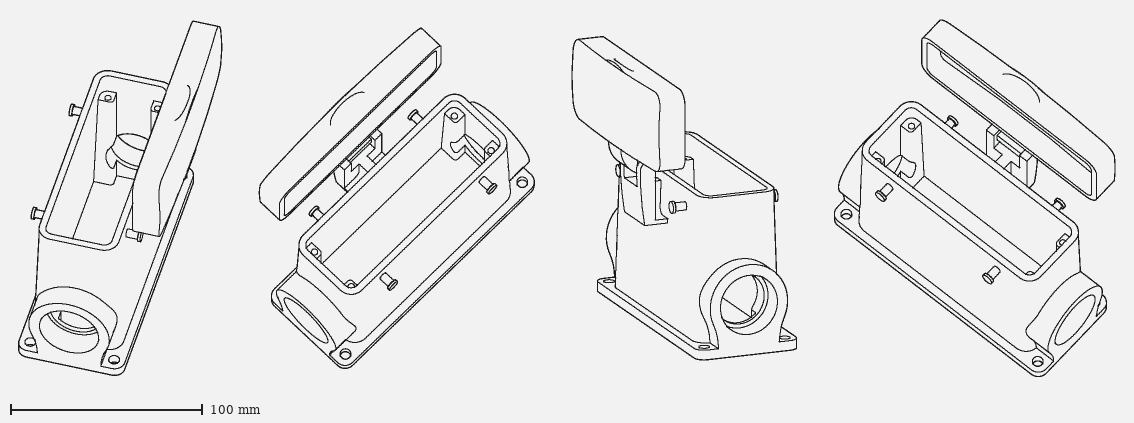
import cadquery as cq
import math


flange_width = 57.2
flange_length = 144.0
flange_thickness = 5.3
flange_corner_radius = 5.5
mount_hole_diameter = 5.6
mount_hole_x = 22.7
mount_hole_y = 65.8

rim_top = 84.0
rim_height = 5.3
rim_bottom = rim_top - rim_height
rim_width = 43.0
base_width = 48.3
shell_length = 120.3
shell_corner_radius = 7.8
wall = 3.6

entry_height = 27.3
entry_boss_radius = 21.8
entry_bore_diameter = 32.1
wall_opening_diameter = 27.8
entry_bore_bite = 1.2
entry_bore_bottom = shell_length / 2 - entry_bore_bite
foot_blend_radius = 32.5

post_width = 7.8
post_length = 7.1
post_top = 71.5
post_corner_radius = 1.9
post_hole_diameter = 3.3
post_hole_depth = 14.5
post_hole_x = 13.5
post_hole_y = 52.0

peg_height = 74.0
peg_y = 36.9
peg_tip_x = 29.5
peg_shaft_diameter = 4.3
peg_head_diameter = 6.2
peg_head_thickness = 1.5

bracket_width = 27.9
bracket_bottom = 58.5
bracket_plate_thickness = 2.3
web_width = 6.0
web_fillet = 3.9
upright_x = 29.0
upright_thickness = 8.5
upright_top = 93.1
upright_top_radius = 4.9
upright_foot_thickness = 6.0
hinge_slot_width = 17.6

cover_open_x = 31.1
cover_apex_x = 48.0
crown_drop_y = 2.0
crown_drop_z = 1.5
cover_length = shell_length
cover_height = 43.1
cover_top = 142.7
cover_center_z = cover_top - cover_height / 2
cover_bottom = cover_top - cover_height
cover_corner_radius = shell_corner_radius
cover_edge_x = cover_apex_x - crown_drop_z
attachment_inset = 0.1
attachment_back_x = cover_edge_x - attachment_inset

lip_top = 144.5
lip_width = 24.9
lip_start_x = 40.8
lip_crest_x = 44.2
lip_scoop_sag = 0.3

arm_width = 17.2
arm_inner_x = 37.0
arm_foot_x = 31.5
arm_foot_top = 90.0
arm_radius = attachment_back_x - arm_foot_x


def rounded_block(width, length, height, radius):
    """Block on Z = 0 with rounded vertical edges."""
    return cq.Workplane("XY").rect(width, length).extrude(height).edges("|Z").fillet(radius)


def tapered_shell(inset):
    """Straight rim over a body that widens in X down to the flange, shrunk sideways by inset."""
    half_rim = rim_width / 2 - inset
    half_base = base_width / 2 - inset
    half_length = shell_length / 2 - inset
    return (
        cq.Workplane("XZ", origin=(0, half_length, 0))
        .moveTo(-half_base, flange_thickness)
        .lineTo(-half_rim, rim_bottom)
        .lineTo(-half_rim, rim_top)
        .lineTo(half_rim, rim_top)
        .lineTo(half_rim, rim_bottom)
        .lineTo(half_base, flange_thickness)
        .close()
        .extrude(2 * half_length)
        .faces("<Y or >Y")
        .edges("not #Z")
        .fillet(shell_corner_radius - inset)
    )


def make_flange():
    flange = rounded_block(flange_width, flange_length, flange_thickness, flange_corner_radius)
    return (
        flange.faces(">Z")
        .workplane()
        .rect(2 * mount_hole_x, 2 * mount_hole_y, forConstruction=True)
        .vertices()
        .hole(mount_hole_diameter)
    )


def make_entry_body():
    """Round boss over the full length, blended down to the flange by two hollow arcs."""
    rise = entry_height - flange_thickness
    blend_angle = math.asin(rise / (entry_boss_radius + foot_blend_radius))
    join_x = entry_boss_radius * math.cos(blend_angle)
    join_z = entry_height - entry_boss_radius * math.sin(blend_angle)
    blend_center_x = (entry_boss_radius + foot_blend_radius) * math.cos(blend_angle)
    foot_x = blend_center_x - foot_blend_radius
    mid_x = blend_center_x - foot_blend_radius * math.cos(blend_angle / 2)
    mid_z = flange_thickness + foot_blend_radius * math.sin(blend_angle / 2)
    return (
        cq.Workplane("XZ", origin=(0, flange_length / 2, 0))
        .moveTo(-foot_x, flange_thickness)
        .threePointArc((-mid_x, mid_z), (-join_x, join_z))
        .threePointArc((0, entry_height + entry_boss_radius), (join_x, join_z))
        .threePointArc((mid_x, mid_z), (foot_x, flange_thickness))
        .close()
        .extrude(flange_length)
    )


def entry_cylinder(diameter, start_y, end_y):
    """Cylinder along Y on the axis of the cable entries."""
    return (
        cq.Workplane("XZ", origin=(0, start_y, entry_height))
        .circle(diameter / 2)
        .extrude(start_y - end_y)
    )


def make_screw_posts(cavity):
    """Four posts that fill the cavity corners, each with a blind screw hole."""
    cavity_half_width = rim_width / 2 - wall
    cavity_half_length = shell_length / 2 - wall
    posts = cq.Workplane("XY")
    for side_x in (-1, 1):
        for side_y in (-1, 1):
            inner_x = cavity_half_width - post_width
            inner_y = cavity_half_length - post_length
            outer_x = base_width / 2
            outer_y = shell_length / 2
            post = (
                cq.Workplane("XY", origin=(0, 0, flange_thickness))
                .center(side_x * (inner_x + outer_x) / 2, side_y * (inner_y + outer_y) / 2)
                .rect(outer_x - inner_x, outer_y - inner_y)
                .extrude(post_top - flange_thickness)
                .edges("|Z")
                .edges(cq.NearestToPointSelector((side_x * inner_x, side_y * inner_y, post_top / 2)))
                .fillet(post_corner_radius)
            )
            posts = posts.add(post.intersect(cavity))
    posts = posts.combine()
    holes = (
        cq.Workplane("XY", origin=(0, 0, post_top))
        .rect(2 * post_hole_x, 2 * post_hole_y, forConstruction=True)
        .vertices()
        .circle(post_hole_diameter / 2)
        .extrude(-post_hole_depth)
    )
    return posts.cut(holes)


def make_peg(side_x, y):
    """Headed peg that starts inside the wall and points outwards along X."""
    root_x = rim_width / 2 - wall / 2
    shaft = cq.Workplane("YZ").circle(peg_shaft_diameter / 2).extrude(peg_tip_x - root_x)
    head = (
        cq.Workplane("YZ", origin=(peg_tip_x - root_x, 0, 0))
        .circle(peg_head_diameter / 2)
        .extrude(-peg_head_thickness)
    )
    peg = shaft.union(head).translate((root_x, 0, 0))
    if side_x < 0:
        peg = peg.mirror("YZ")
    return peg.translate((0, y, peg_height))


def make_bracket():
    """Inverted-T arm from the housing wall that carries two uprights with a slot between them."""
    root_x = rim_width / 2
    plate_top = bracket_bottom + bracket_plate_thickness
    half_width = bracket_width / 2
    half_web = web_width / 2
    fillet_drop = web_fillet * (1 - math.sqrt(0.5))
    arm = (
        cq.Workplane("YZ", origin=(root_x, 0, 0))
        .moveTo(-half_width, bracket_bottom)
        .lineTo(half_width, bracket_bottom)
        .lineTo(half_width, plate_top)
        .lineTo(half_web + web_fillet, plate_top)
        .threePointArc(
            (half_web + fillet_drop, plate_top + fillet_drop),
            (half_web, plate_top + web_fillet),
        )
        .lineTo(half_web, rim_bottom)
        .lineTo(-half_web, rim_bottom)
        .lineTo(-half_web, plate_top + web_fillet)
        .threePointArc(
            (-half_web - fillet_drop, plate_top + fillet_drop),
            (-half_web - web_fillet, plate_top),
        )
        .lineTo(-half_width, plate_top)
        .close()
        .extrude(upright_x - root_x)
    )

    back_x = upright_x + upright_thickness
    shoulder_z = upright_top - upright_top_radius
    uprights = (
        cq.Workplane("XZ", origin=(0, half_width, 0))
        .moveTo(upright_x, bracket_bottom)
        .lineTo(upright_x, upright_top)
        .lineTo(back_x - upright_top_radius, upright_top)
        .tangentArcPoint((back_x, shoulder_z), relative=False)
        .tangentArcPoint((upright_x + upright_foot_thickness, bracket_bottom), relative=False)
        .close()
        .extrude(bracket_width)
    )
    slot = (
        cq.Workplane("XY", origin=(upright_x + upright_thickness / 2, 0, rim_bottom))
        .rect(2 * upright_thickness, hinge_slot_width)
        .extrude(upright_top - rim_bottom)
    )
    return arm.union(uprights.cut(slot))


def make_housing():
    cavity = tapered_shell(wall)
    housing = (
        tapered_shell(0)
        .union(make_bracket(), clean=False)
        .union(make_flange(), clean=False)
        .union(make_entry_body(), clean=False)
        .cut(cavity)
        .union(make_screw_posts(cavity), clean=False)
    )
    half_length = flange_length / 2
    housing = housing.cut(entry_cylinder(wall_opening_diameter, half_length, -half_length))
    housing = housing.cut(entry_cylinder(entry_bore_diameter, half_length, entry_bore_bottom))
    housing = housing.cut(entry_cylinder(entry_bore_diameter, -entry_bore_bottom, -half_length))
    for side_x in (-1, 1):
        for y in (-peg_y, peg_y):
            housing = housing.union(make_peg(side_x, y), clean=False)
    return housing


def crowned_block(inset, apex_x):
    """Rounded block from the open side of the cover to a back that bulges along both Y and Z."""
    half_length = cover_length / 2
    crown_radius = (half_length**2 + crown_drop_y**2) / (2 * crown_drop_y)
    edge_x = apex_x - crown_drop_z
    front_x = cover_open_x - 2 * crown_drop_y
    crown = (
        cq.Workplane("XZ")
        .moveTo(front_x, cover_bottom)
        .lineTo(edge_x, cover_bottom)
        .threePointArc((apex_x, cover_center_z), (edge_x, cover_top))
        .lineTo(front_x, cover_top)
        .close()
        .revolve(360, (apex_x - crown_radius, 0), (apex_x - crown_radius, 1))
    )
    block = (
        cq.Workplane("YZ", origin=(cover_open_x, 0, cover_center_z))
        .rect(cover_length - 2 * inset, cover_height - 2 * inset)
        .extrude(apex_x - cover_open_x)
        .edges("|X")
        .fillet(cover_corner_radius - inset)
    )
    return block.intersect(crown)


def make_lip():
    """Thumb lip: a low arch on the top of the cover, scooped out at the front."""
    root_z = cover_top - wall / 2
    arch = (
        cq.Workplane("YZ", origin=(lip_start_x, 0, 0))
        .moveTo(-lip_width / 2, root_z)
        .lineTo(-lip_width / 2, cover_top)
        .threePointArc((0, lip_top), (lip_width / 2, cover_top))
        .lineTo(lip_width / 2, root_z)
        .close()
        .extrude(attachment_back_x - lip_start_x)
    )
    scooped = (
        cq.Workplane("XZ", origin=(0, lip_width / 2, 0))
        .moveTo(lip_start_x, root_z)
        .lineTo(lip_start_x, cover_top)
        .sagittaArc((lip_crest_x, lip_top), -lip_scoop_sag)
        .lineTo(attachment_back_x, lip_top)
        .lineTo(attachment_back_x, root_z)
        .close()
        .extrude(lip_width)
    )
    return arch.intersect(scooped)


def make_arm():
    """Hinge arm under the cover; its rounded foot reaches in between the uprights."""
    root_z = cover_bottom + wall / 2
    bend = math.sqrt(0.5) * arm_radius
    return (
        cq.Workplane("XZ", origin=(0, arm_width / 2, 0))
        .moveTo(arm_inner_x, root_z)
        .lineTo(arm_inner_x, arm_foot_top)
        .lineTo(arm_foot_x, arm_foot_top)
        .lineTo(arm_foot_x, cover_bottom - arm_radius)
        .threePointArc((arm_foot_x + bend, cover_bottom - bend), (attachment_back_x, cover_bottom))
        .lineTo(attachment_back_x, root_z)
        .close()
        .extrude(arm_width)
    )


def make_cover():
    pocket = crowned_block(wall, cover_apex_x - wall)
    return crowned_block(0, cover_apex_x).union(make_arm()).union(make_lip()).cut(pocket)


housing = make_housing()
cover = make_cover()

result = cq.Compound.makeCompound([housing.val(), cover.val()])